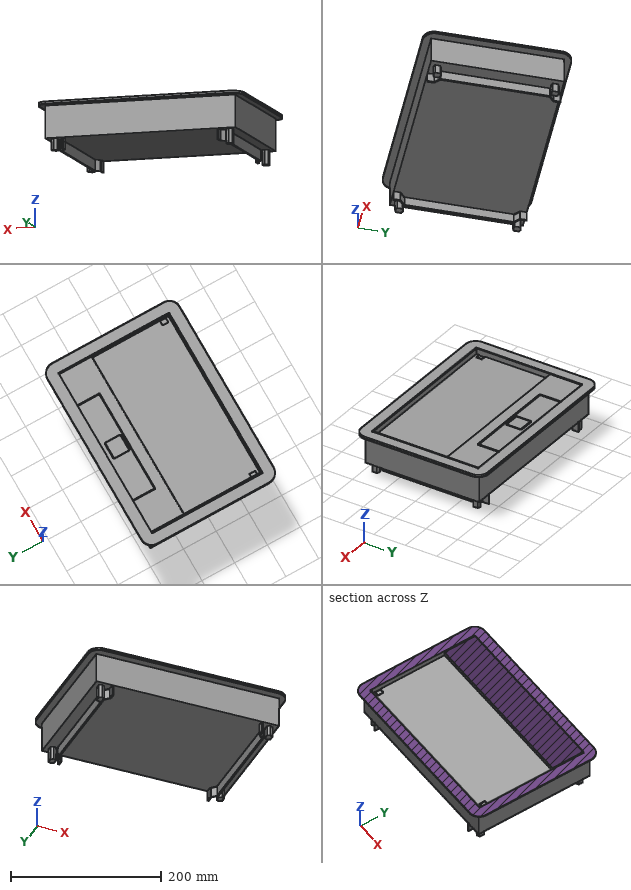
import cadquery as cq

flange_length = 285.0
flange_width = 202.0
flange_radius = 15.7
flange_height = 4.0
lip_height = 1.0
frame_height = flange_height - lip_height

box_length = 265.0
box_width = 181.0
box_bottom = -48.0

opening_length = 253.0
opening_width = 169.0

lid_gap = 1.0
rim_width = 1.0
lid_length = opening_length - 2 * lid_gap
lid_front = -opening_width / 2 + lid_gap
lid_back = opening_width / 2
tray_depth = 8.3
tray_floor = 2.0
lid_height = tray_depth + tray_floor
tray_length = lid_length - 2 * rim_width
tray_front = lid_front + rim_width
block_front = 34.5
block_drop = 0.43

notch_length = 7.0
notch_front = -78.5
notch_width = 8.8
notch_depth = 1.5

flap_length = 151.0
flap_front = 50.5
flap_radius = 0.9
groove_width = 1.0
groove_depth = 1.5

button_size = 25.0
button_front = 53.5
button_radius = 2.0
button_side_gap = 0.3

rail_bottom = -63.0
rail_inner = 107.5
rail_thickness = 2.0
rail_offset = 7.0
rail_end_length = 9.0

post_x = 122.0
post_y = 80.0
post_width = 8.0
post_length = 11.0
post_flat = 7.0
left_post_bottom = -67.8
right_post_bottom = rail_bottom


def slab(x0, x1, y0, y1, bottom, top):
    """Block between opposite corners."""
    block = cq.Workplane("XY").box(x1 - x0, y1 - y0, top - bottom, centered=False)
    return block.translate((x0, y0, bottom))


def centred_slab(length, y0, y1, bottom, top):
    """Block centred on X = 0."""
    return slab(-length / 2, length / 2, y0, y1, bottom, top)


def flange_plate(bottom, top):
    plate = centred_slab(flange_length, -flange_width / 2, flange_width / 2, bottom, top)
    return plate.edges("|Z").fillet(flange_radius)


def lid_opening(depth):
    return centred_slab(opening_length, -opening_width / 2, opening_width / 2, -depth, 0)


def make_rail(side):
    """Sheet rail on one side (-1 or 1), with both ends bent inwards at 45 degrees."""
    end = box_width / 2
    bend_start = end - rail_end_length
    bend_end = bend_start - rail_offset
    inner = rail_inner
    outer = rail_inner + rail_thickness
    front_to_back = [
        (0, -end),
        (0, -bend_start),
        (rail_offset, -bend_end),
        (rail_offset, bend_end),
        (0, bend_start),
        (0, end),
    ]
    inner_face = [(side * (inner + shift), y) for shift, y in front_to_back]
    outer_face = [(side * (outer + shift), y) for shift, y in reversed(front_to_back)]
    profile = cq.Workplane("XY").workplane(offset=rail_bottom).polyline(inner_face + outer_face).close()
    return profile.extrude(box_bottom - rail_bottom)


def make_post(x, y, bottom):
    """Six-sided post with flat sides facing -X and +X."""
    half_width = post_width / 2
    half_flat = post_flat / 2
    half_length = post_length / 2
    outline = [
        (-half_width, -half_flat),
        (0, -half_length),
        (half_width, -half_flat),
        (half_width, half_flat),
        (0, half_length),
        (-half_width, half_flat),
    ]
    post = cq.Workplane("XY").polyline(outline).close().extrude(box_bottom - bottom)
    return post.translate((x, y, bottom))


def make_housing():
    """Box with its lip, two rails and four posts, and a pocket for the lid."""
    housing = centred_slab(box_length, -box_width / 2, box_width / 2, box_bottom, -frame_height)
    housing = housing.union(flange_plate(-flange_height, -frame_height))
    housing = housing.cut(lid_opening(lid_height))
    for side, post_bottom in ((-1, left_post_bottom), (1, right_post_bottom)):
        housing = housing.union(make_rail(side))
        for y in (-post_y, post_y):
            housing = housing.union(make_post(side * post_x, y, post_bottom))
    return housing


def make_frame():
    """Frame plate around the lid opening."""
    return flange_plate(-frame_height, 0).cut(lid_opening(frame_height))


def flap_groove():
    """Groove along the front and both sides of the flap."""
    outer = centred_slab(flap_length, flap_front, lid_back, -groove_depth, 0)
    outer = outer.edges("|Z and <Y").fillet(flap_radius)
    inner = centred_slab(
        flap_length - 2 * groove_width, flap_front + groove_width, lid_back, -groove_depth, 0
    )
    return outer.cut(inner)


def button_groove():
    """Closed groove around the button, wider at its front and back."""
    button_back = button_front + button_size
    outer = centred_slab(button_size, button_front, button_back, -groove_depth, 0)
    inner = centred_slab(
        button_size - 2 * button_side_gap,
        button_front + groove_width,
        button_back - groove_width,
        -groove_depth,
        0,
    )
    return outer.edges("|Z").fillet(button_radius).cut(inner.edges("|Z").fillet(button_radius))


def make_lid():
    """Tray with a rim on three sides, a raised block at the back and the flap and button grooves."""
    lid = centred_slab(lid_length, lid_front, lid_back, -lid_height, 0)
    lid = lid.cut(centred_slab(tray_length, tray_front, block_front, -tray_depth, 0))
    lid = lid.cut(centred_slab(tray_length, block_front, lid_back, -block_drop, 0))
    notch_back = notch_front + notch_width
    notch_bottom = -tray_depth - notch_depth
    wall = tray_length / 2
    for x0 in (-wall, wall - notch_length):
        lid = lid.cut(slab(x0, x0 + notch_length, notch_front, notch_back, notch_bottom, -tray_depth))
    return lid.cut(flap_groove()).cut(button_groove())


housing = make_housing()
frame = make_frame()
lid = make_lid()

result = cq.Compound.makeCompound([housing.val(), frame.val(), lid.val()])